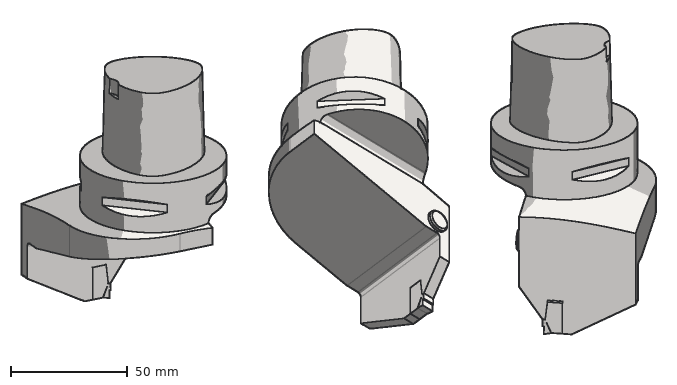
import cadquery as cq
import math

SHANK_LENGTH = 38.0
SHANK_MEAN_RADIUS = 22.0
SHANK_LOBES = 3
SHANK_LOBE = 1.7
SHANK_TAPER = 1.0
SHANK_POINTS = 36
KEY_NOTCH_WIDTH = 7.9
KEY_NOTCH_LENGTH = 6.7
KEY_NOTCH_DEPTH = 1.7
FLANGE_RADIUS = 63.0 / 2
FLANGE_HEIGHT = 22.9

GRIP_COUNT = 4
GRIP_FLAT_RADIUS = 28.0
GRIP_MID_Z = -11.9
GRIP_FLAT_HEIGHT = 3.7
GRIP_MOUTH_HEIGHT = 7.7

HEAD_LEFT = -44.7
HEAD_RIGHT = 33.0
HEAD_FRONT = -40.0
HEAD_BACK = 11.0
HEAD_CORNER_RADIUS = 35.0
HEAD_TOP_SLOPE = 15
UNDERSIDE_Z = -46.4
UNDERSIDE_FLAT_END = -31.3
UNDERSIDE_RIGHT_Z = -31.6
RELIEF_EDGE_Z = -18.0
RELIEF_INNER_Z = -19.8
RELIEF_FILLET = 3.5

BLADE_THICKNESS = 5.4
BLADE_RIGHT = HEAD_LEFT + BLADE_THICKNESS
BLADE_BOTTOM = -79.3
BLADE_FILLET = 1.8
BLADE_FRONT_Z = -63.4
BLADE_BACK_Z = -59.0
BLADE_FOOT_Y = -12.0
BLADE_NOSE_Y = 0.7
BLADE_NOSE_Z = -73.3

SCREW_DIAMETER = 10.0
SCREW_X = -37.5
SCREW_Z = -40.1
SCREW_HEIGHT = 1.9
SCREW_CHAMFER = 0.7

INSERT_TOP = -64.3
INSERT_FRONT = -8.0
INSERT_TOP_BACK = -1.5
INSERT_NECK_Y = -0.5
INSERT_CHAMFER = 0.8
TIP_TOP = -74.7
TIP_BOTTOM = SHANK_LENGTH - 118
TIP_STEP_Z = -76.5
TIP_BACK = 0.1
TIP_FLANK_TOP = -1.1
TIP_FLANK_BOTTOM = -3.2
TIP_FLARE = 0.2

MARGIN = 1.2


def shank_outline(mean_radius, z):
    """Closed three-lobed curve with one lobe toward +Y."""
    points = []
    for i in range(SHANK_POINTS):
        turn = 2 * math.pi * i / SHANK_POINTS
        angle = math.pi / 2 + turn
        reach = mean_radius + SHANK_LOBE * math.cos(SHANK_LOBES * turn)
        shift = -SHANK_LOBES * SHANK_LOBE * math.sin(SHANK_LOBES * turn)
        x = reach * math.cos(angle) - shift * math.sin(angle)
        y = reach * math.sin(angle) + shift * math.cos(angle)
        points.append(cq.Vector(x, y, z))
    return cq.Wire.assembleEdges([cq.Edge.makeSpline(points, periodic=True)])


def make_shank():
    base = shank_outline(SHANK_MEAN_RADIUS, 0)
    end = shank_outline(SHANK_MEAN_RADIUS - SHANK_TAPER, SHANK_LENGTH)
    shank = cq.Workplane(cq.Solid.makeLoft([base, end], True))
    end_flat_y = -(SHANK_MEAN_RADIUS - SHANK_TAPER - SHANK_LOBE)
    half_width = KEY_NOTCH_WIDTH / 2
    radius = (half_width**2 + KEY_NOTCH_DEPTH**2) / (2 * KEY_NOTCH_DEPTH)
    notch = (
        cq.Workplane("XY", origin=(0, 0, SHANK_LENGTH - KEY_NOTCH_LENGTH))
        .center(0, end_flat_y + KEY_NOTCH_DEPTH - radius)
        .circle(radius)
        .extrude(KEY_NOTCH_LENGTH + MARGIN)
    )
    return shank.cut(notch)


def make_flange():
    flange = cq.Workplane("XY").circle(FLANGE_RADIUS).extrude(-FLANGE_HEIGHT)
    half_flat = GRIP_FLAT_HEIGHT / 2
    half_mouth = GRIP_MOUTH_HEIGHT / 2
    notch = (
        cq.Workplane("XZ", origin=(0, 0, GRIP_MID_Z))
        .moveTo(GRIP_FLAT_RADIUS, -half_flat)
        .lineTo(FLANGE_RADIUS, -half_mouth)
        .lineTo(FLANGE_RADIUS, half_mouth)
        .lineTo(GRIP_FLAT_RADIUS, half_flat)
        .close()
        .extrude(FLANGE_RADIUS, both=True)
    )
    spacing = 360 / GRIP_COUNT
    for i in range(GRIP_COUNT):
        flange = flange.cut(notch.rotate((0, 0, 0), (0, 0, 1), spacing * (i + 0.5)))
    return flange.cut(flange_relief())


def flange_relief():
    """Room below the flange, behind the head's back face."""
    rim = FLANGE_RADIUS + MARGIN
    below = -FLANGE_HEIGHT - RELIEF_FILLET
    return (
        cq.Workplane("YZ")
        .moveTo(HEAD_BACK, below)
        .lineTo(HEAD_BACK, RELIEF_INNER_Z)
        .lineTo(FLANGE_RADIUS, RELIEF_EDGE_Z)
        .lineTo(rim, RELIEF_EDGE_Z)
        .lineTo(rim, below)
        .close()
        .extrude(rim, both=True)
        .edges(cq.selectors.NearestToPointSelector((0, HEAD_BACK, RELIEF_INNER_Z)))
        .fillet(RELIEF_FILLET)
    )


def head_plan():
    corner_x = HEAD_RIGHT - HEAD_CORNER_RADIUS
    corner_y = HEAD_FRONT + HEAD_CORNER_RADIUS
    diagonal = HEAD_CORNER_RADIUS * math.sqrt(0.5)
    return (
        cq.Workplane("XY")
        .moveTo(HEAD_LEFT, HEAD_BACK)
        .lineTo(HEAD_LEFT, HEAD_FRONT)
        .lineTo(corner_x, HEAD_FRONT)
        .threePointArc((corner_x + diagonal, corner_y - diagonal), (HEAD_RIGHT, corner_y))
        .lineTo(HEAD_RIGHT, HEAD_BACK)
        .close()
        .extrude(BLADE_BOTTOM)
    )


def head_front_profile():
    return (
        cq.Workplane("XZ")
        .moveTo(HEAD_LEFT, 0)
        .lineTo(HEAD_LEFT, BLADE_BOTTOM)
        .lineTo(BLADE_RIGHT, BLADE_BOTTOM)
        .lineTo(BLADE_RIGHT, UNDERSIDE_Z)
        .lineTo(UNDERSIDE_FLAT_END, UNDERSIDE_Z)
        .lineTo(HEAD_RIGHT, UNDERSIDE_RIGHT_Z)
        .lineTo(HEAD_RIGHT, 0)
        .close()
        .extrude(-HEAD_FRONT + MARGIN, both=True)
        .edges(cq.selectors.NearestToPointSelector((BLADE_RIGHT, 0, UNDERSIDE_Z)))
        .fillet(BLADE_FILLET)
    )


def head_side_profile():
    return (
        cq.Workplane("YZ", origin=(HEAD_LEFT, 0, 0))
        .moveTo(HEAD_BACK, 0)
        .lineTo(HEAD_BACK, BLADE_BACK_Z)
        .lineTo(BLADE_NOSE_Y, BLADE_NOSE_Z)
        .lineTo(BLADE_NOSE_Y, BLADE_BOTTOM)
        .lineTo(BLADE_FOOT_Y, BLADE_BOTTOM)
        .lineTo(HEAD_FRONT, BLADE_FRONT_Z)
        .lineTo(HEAD_FRONT, 0)
        .close()
        .extrude(HEAD_RIGHT - HEAD_LEFT)
    )


def head_cone():
    """Conical roof that falls away from the flange's lower edge."""
    outer_radius = math.hypot(HEAD_LEFT, HEAD_FRONT) + MARGIN
    drop = (outer_radius - FLANGE_RADIUS) * math.tan(math.radians(HEAD_TOP_SLOPE))
    return (
        cq.Workplane("XZ")
        .moveTo(0, -FLANGE_HEIGHT)
        .lineTo(FLANGE_RADIUS, -FLANGE_HEIGHT)
        .lineTo(outer_radius, -FLANGE_HEIGHT - drop)
        .lineTo(outer_radius, BLADE_BOTTOM)
        .lineTo(0, BLADE_BOTTOM)
        .close()
        .revolve(360, (0, 0, 0), (0, 1, 0))
    )


def make_screw_head():
    return (
        cq.Workplane("XZ", origin=(SCREW_X, HEAD_BACK, SCREW_Z))
        .circle(SCREW_DIAMETER / 2)
        .extrude(-SCREW_HEIGHT)
        .faces(">Y")
        .chamfer(SCREW_CHAMFER)
    )


def make_insert():
    body = (
        cq.Workplane("YZ", origin=(HEAD_LEFT, 0, 0))
        .moveTo(INSERT_TOP_BACK, INSERT_TOP)
        .lineTo(INSERT_FRONT, INSERT_TOP)
        .lineTo(INSERT_FRONT, BLADE_BOTTOM)
        .lineTo(TIP_FLANK_BOTTOM, BLADE_BOTTOM)
        .lineTo(TIP_FLANK_TOP, TIP_TOP)
        .lineTo(BLADE_NOSE_Y, TIP_TOP)
        .lineTo(BLADE_NOSE_Y, BLADE_NOSE_Z)
        .lineTo(INSERT_NECK_Y, BLADE_NOSE_Z)
        .close()
        .extrude(BLADE_THICKNESS)
        .faces("<X")
        .edges(">Z")
        .chamfer(INSERT_CHAMFER)
    )
    return body.union(make_insert_tip())


def make_insert_tip():
    """Cutting end, which widens toward its lower edge."""
    side = (
        cq.Workplane("YZ", origin=(HEAD_LEFT - TIP_FLARE, 0, 0))
        .moveTo(BLADE_NOSE_Y, TIP_TOP)
        .lineTo(TIP_FLANK_TOP, TIP_TOP)
        .lineTo(TIP_FLANK_BOTTOM, BLADE_BOTTOM)
        .lineTo(TIP_BACK, TIP_BOTTOM)
        .lineTo(TIP_BACK, TIP_STEP_Z)
        .lineTo(BLADE_NOSE_Y, TIP_STEP_Z)
        .close()
        .extrude(BLADE_THICKNESS + 2 * TIP_FLARE)
    )
    flare = (
        cq.Workplane("XZ")
        .moveTo(HEAD_LEFT, TIP_TOP)
        .lineTo(BLADE_RIGHT, TIP_TOP)
        .lineTo(BLADE_RIGHT + TIP_FLARE, TIP_BOTTOM)
        .lineTo(HEAD_LEFT - TIP_FLARE, TIP_BOTTOM)
        .close()
        .extrude(-INSERT_FRONT, both=True)
    )
    return side.intersect(flare)


def make_insert_seat():
    """Opening in the blade that holds the insert and is clear behind it."""
    return (
        cq.Workplane("YZ", origin=(HEAD_LEFT - MARGIN, 0, 0))
        .moveTo(INSERT_TOP_BACK, INSERT_TOP)
        .lineTo(INSERT_FRONT, INSERT_TOP)
        .lineTo(INSERT_FRONT, BLADE_BOTTOM - MARGIN)
        .lineTo(BLADE_NOSE_Y + MARGIN, BLADE_BOTTOM - MARGIN)
        .lineTo(BLADE_NOSE_Y + MARGIN, BLADE_NOSE_Z)
        .lineTo(INSERT_NECK_Y, BLADE_NOSE_Z)
        .close()
        .extrude(BLADE_THICKNESS + 2 * MARGIN)
    )


def make_holder():
    head = head_plan().intersect(head_front_profile())
    head = head.intersect(head_side_profile()).intersect(head_cone())
    head = head.cut(make_insert_seat())
    return make_shank().union(make_flange()).union(head).union(make_screw_head())


holder = make_holder()
insert = make_insert()
result = cq.Compound.makeCompound([holder.solids().val(), insert.solids().val()])